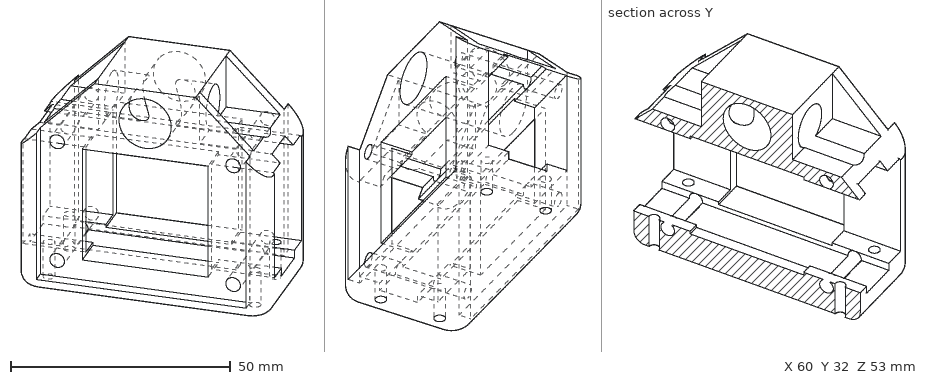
import cadquery as cq

LENGTH = 60.0
DEPTH = 32.0
HEIGHT = 53.0
CORNER_RADIUS = 5.0
BOTTOM_FILLET = 3.0

EAVES_HEIGHT = 35.0
RIDGE_WIDTH = 24.2

RECESS_DEPTH = 3.0
RECESS_LENGTH = LENGTH - 2 * CORNER_RADIUS

OPENING_CENTER_Z = 22.0
SCREW_DIAMETER = 3.5
SCREW_SPACING_X = 42.0
SCREW_SPACING_Z = 30.0

WINDOW_LENGTH = 30.0
WINDOW_HEIGHT = 28.0

PASSAGE_WIDTH = 20.45
PASSAGE_HEIGHT = SCREW_SPACING_Z - SCREW_DIAMETER
CHANNEL_WIDTH = 9.9
CHANNEL_HEIGHT = 30.5

PAD_HOLE_DIAMETER = 2.65
PAD_HOLE_SPACING_X = 49.2
PAD_HOLE_SPACING_Y = 15.35

POCKET_WIDTH = 20.0
POCKET_FLOOR_Z = 40.0
BORE_CENTER_Z = 44.65
BORE_DIAMETER_X = 10.5
BORE_DIAMETER_Y = 12.5


def centered_box(length, depth, height, center_z):
    """Box centred on the Z axis at the given height."""
    return cq.Workplane("XY").box(length, depth, height).translate((0, 0, center_z))


def rounded_body():
    """Block with rounded upright corners and a rounded bottom rim."""
    body = cq.Workplane("XY").box(LENGTH, DEPTH, HEIGHT, centered=(True, True, False))
    body = body.edges("|Z").fillet(CORNER_RADIUS)
    return body.faces("<Z").edges().fillet(BOTTOM_FILLET)


def gable_prism():
    """Full-depth prism with the front outline of the part."""
    outline = [
        (-LENGTH / 2, 0),
        (LENGTH / 2, 0),
        (LENGTH / 2, EAVES_HEIGHT),
        (RIDGE_WIDTH / 2, HEIGHT),
        (-RIDGE_WIDTH / 2, HEIGHT),
        (-LENGTH / 2, EAVES_HEIGHT),
    ]
    return cq.Workplane("XZ").polyline(outline).close().extrude(DEPTH / 2, both=True)


def wall_recesses():
    """Front and back recesses, open at the top, with a ledge at the top of the bottom fillet."""
    recess = cq.Workplane("XY").box(RECESS_LENGTH, RECESS_DEPTH, HEIGHT, centered=(True, False, False))
    front = recess.translate((0, -DEPTH / 2, BOTTOM_FILLET))
    return front.union(front.mirror("XZ"))


def roof_pockets():
    """Pockets between the side walls, one under each slope."""
    pocket = cq.Workplane("XY").box(LENGTH / 2, POCKET_WIDTH, HEIGHT, centered=(False, True, False))
    right = pocket.translate((RIDGE_WIDTH / 2, 0, POCKET_FLOOR_Z))
    return right.union(right.mirror("YZ"))


def openings():
    """Front-to-back window crossing the end-to-end passage and its deeper channel."""
    window = centered_box(WINDOW_LENGTH, DEPTH, WINDOW_HEIGHT, OPENING_CENTER_Z)
    passage = centered_box(LENGTH, PASSAGE_WIDTH, PASSAGE_HEIGHT, OPENING_CENTER_Z)
    channel = centered_box(LENGTH, CHANNEL_WIDTH, CHANNEL_HEIGHT, OPENING_CENTER_Z)
    return window.union(passage).union(channel)


def ridge_bores():
    """Bores along X and Y that meet inside the ridge block."""
    end_plane = cq.Workplane("YZ", origin=(-LENGTH / 2, 0, BORE_CENTER_Z))
    back_plane = cq.Workplane("XZ", origin=(0, DEPTH / 2, BORE_CENTER_Z))
    along_x = end_plane.circle(BORE_DIAMETER_X / 2).extrude(LENGTH)
    along_y = back_plane.circle(BORE_DIAMETER_Y / 2).extrude(DEPTH)
    return along_x.union(along_y)


def screw_holes():
    """Holes along Y that also groove the floor and ceiling of the channel."""
    return (
        cq.Workplane("XZ", origin=(0, DEPTH / 2, OPENING_CENTER_Z))
        .rarray(SCREW_SPACING_X, SCREW_SPACING_Z, 2, 2)
        .circle(SCREW_DIAMETER / 2)
        .extrude(DEPTH)
    )


def pad_holes():
    """Holes from the passage down through the bottom."""
    return (
        cq.Workplane("XY")
        .rarray(PAD_HOLE_SPACING_X, PAD_HOLE_SPACING_Y, 2, 2)
        .circle(PAD_HOLE_DIAMETER / 2)
        .extrude(OPENING_CENTER_Z)
    )


result = rounded_body().intersect(gable_prism())
for cutter in (wall_recesses(), roof_pockets(), openings(), ridge_bores(), screw_holes(), pad_holes()):
    result = result.cut(cutter)